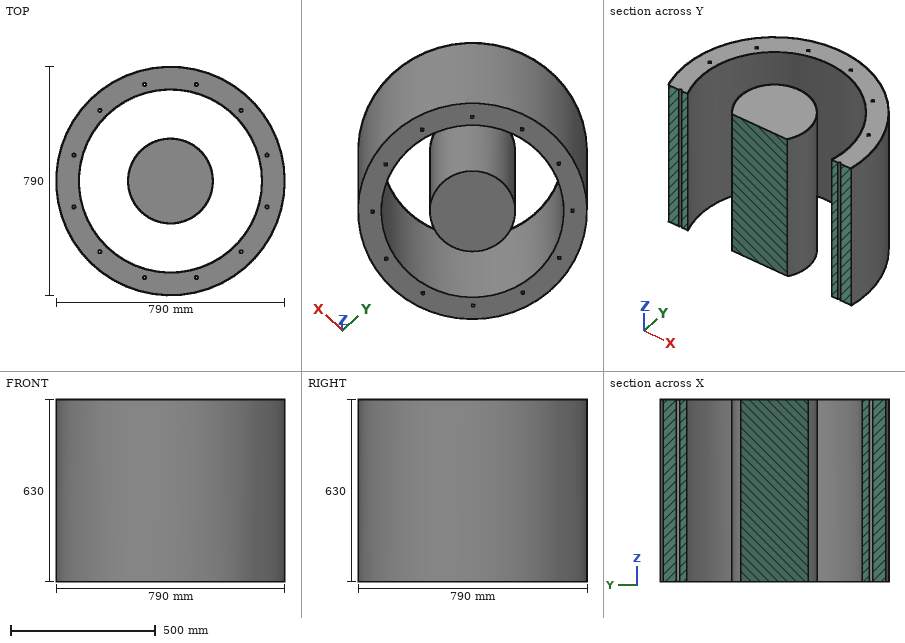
import cadquery as cq

height = 630.0
ring_diameter = 790.0
bore_diameter = 630.0
core_diameter = 295.0

lip_width = 2.0
recess_depth = 0.6

hole_count = 12
hole_diameter = 10.0
hole_circle_diameter = 690.0
hole_start_angle = 360 / hole_count / 2


def make_ring():
    """Thick tube whose top face is sunk between two thin lips, with a circle of through holes."""
    tube = (
        cq.Workplane("XY")
        .circle(ring_diameter / 2)
        .circle(bore_diameter / 2)
        .extrude(height)
    )
    top_recess = (
        cq.Workplane("XY", origin=(0, 0, height - recess_depth))
        .circle(ring_diameter / 2 - lip_width)
        .circle(bore_diameter / 2 + lip_width)
        .extrude(recess_depth)
    )
    holes = (
        cq.Workplane("XY")
        .polarArray(hole_circle_diameter / 2, hole_start_angle, 360, hole_count)
        .circle(hole_diameter / 2)
        .extrude(height)
    )
    return tube.cut(top_recess).cut(holes)


def make_core():
    """Cylinder standing free on the axis of the ring, its top face sunk inside a thin lip."""
    cylinder = cq.Workplane("XY").circle(core_diameter / 2).extrude(height)
    top_recess = (
        cq.Workplane("XY", origin=(0, 0, height - recess_depth))
        .circle(core_diameter / 2 - lip_width)
        .extrude(recess_depth)
    )
    return cylinder.cut(top_recess)


ring = make_ring()
core = make_core()

result = cq.Compound.makeCompound([ring.val(), core.val()])